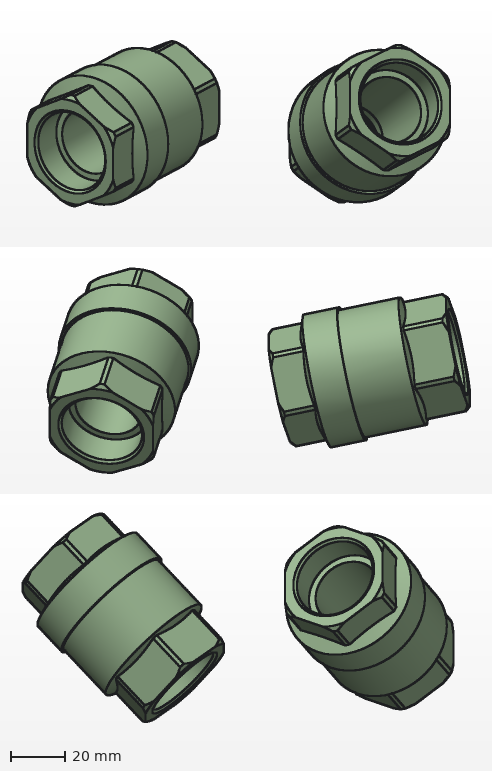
import cadquery as cq
import math

length = 67.0
collar_diameter = 50.0
sleeve_diameter = 48.0
collar_start = 14.0
sleeve_start = 27.1
sleeve_end = 50.05
shoulder_angle = 20.0

across_flats = 39.0
corner_diameter = 44.0
end_face_diameter = 41.0

through_diameter = 25.0
socket_diameter = 30.3
socket_mouth_diameter = 32.3
socket_depth = 12.4


def revolve_profile(points):
    """Revolve (radius, Y) points about the Y axis."""
    return cq.Workplane("XY").polyline(points).close().revolve(360, (0, 0), (0, 1))


def make_hexagon():
    """Full-length hexagon with trimmed corners and 45 degree end chamfers."""
    sharp_diameter = across_flats / math.cos(math.pi / 6)
    hexagon = (
        cq.Workplane("XZ")
        .transformed(rotate=(0, 0, 90))
        .polygon(6, sharp_diameter)
        .extrude(-length)
    )
    corner_radius = corner_diameter / 2
    face_radius = end_face_diameter / 2
    chamfer = corner_radius - face_radius
    envelope = revolve_profile([
        (0, 0),
        (face_radius, 0),
        (corner_radius, chamfer),
        (corner_radius, length - chamfer),
        (face_radius, length),
        (0, length),
    ])
    return hexagon.intersect(envelope)


def make_collar():
    """Stepped round body with conical shoulders running into the hexagons."""
    collar_radius = collar_diameter / 2
    sleeve_radius = sleeve_diameter / 2
    inner_radius = through_diameter / 2
    slope = math.tan(math.radians(shoulder_angle))
    front_tip = collar_start - (collar_radius - inner_radius) * slope
    back_tip = sleeve_end + (sleeve_radius - inner_radius) * slope
    return revolve_profile([
        (0, front_tip),
        (inner_radius, front_tip),
        (collar_radius, collar_start),
        (collar_radius, sleeve_start),
        (sleeve_radius, sleeve_start),
        (sleeve_radius, sleeve_end),
        (inner_radius, back_tip),
        (0, back_tip),
    ])


def make_bore():
    """Through bore with a chamfered socket at each end."""
    through_radius = through_diameter / 2
    socket_radius = socket_diameter / 2
    mouth_radius = socket_mouth_diameter / 2
    chamfer = mouth_radius - socket_radius
    return revolve_profile([
        (0, 0),
        (mouth_radius, 0),
        (socket_radius, chamfer),
        (socket_radius, socket_depth),
        (through_radius, socket_depth),
        (through_radius, length - socket_depth),
        (socket_radius, length - socket_depth),
        (socket_radius, length - chamfer),
        (mouth_radius, length),
        (0, length),
    ])


result = make_hexagon().union(make_collar()).cut(make_bore())